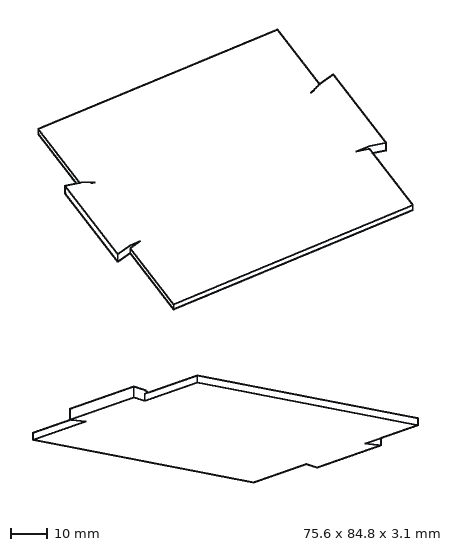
import cadquery as cq

plate_side = 75.6
plate_thickness = 2.0

overall_length = 84.8
tab_height = 3.1
tab_outer_width = 29.5
tab_inner_width = 25.3
tab_overlap = 3.7

plate_edge = plate_side / 2
tab_outer_y = overall_length / 2
tab_inner_y = plate_edge - tab_overlap


def make_tab():
    """Tab on the +Y edge: flat outside the plate, ramping down onto its top face."""
    trapezoid = (
        cq.Workplane("XY")
        .polyline([
            (-tab_outer_width / 2, tab_outer_y),
            (tab_outer_width / 2, tab_outer_y),
            (tab_inner_width / 2, tab_inner_y),
            (-tab_inner_width / 2, tab_inner_y),
        ])
        .close()
        .extrude(tab_height)
    )
    ramp_profile = (
        cq.Workplane("YZ")
        .polyline([
            (tab_inner_y, 0),
            (tab_outer_y, 0),
            (tab_outer_y, tab_height),
            (plate_edge, tab_height),
            (tab_inner_y, plate_thickness),
        ])
        .close()
        .extrude(tab_outer_width / 2, both=True)
    )
    return trapezoid.intersect(ramp_profile)


plate = cq.Workplane("XY").box(
    plate_side, plate_side, plate_thickness, centered=(True, True, False)
)
back_tab = make_tab()
front_tab = back_tab.mirror("XZ")

result = plate.union(back_tab).union(front_tab)